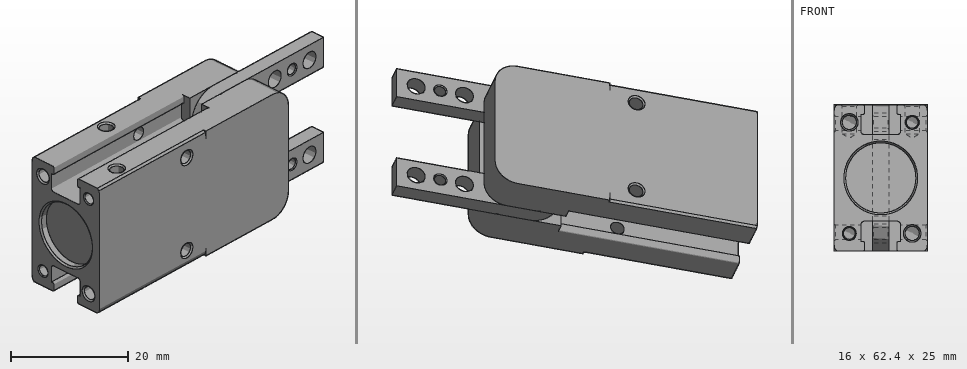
import cadquery as cq
import math


width = 16.0
height = 25.0
total_length = 62.4
housing_length = 46.8
rear_radius = 4.0
half_width = width / 2
half_height = height / 2

channel_length = 32.2
channel_depth = 5.1
channel_half_width = 3.4
channel_floor_radius = 0.55
mouth_half_width = 2.75
lip_thickness = 1.7
lip_radius = 0.4

relief_length = 26.35
relief_height = 1.5
relief_radius = 3.75
relief_chamfer = 0.4

recess_diameter = 12.0
recess_depth = 1.5
recess_chamfer = 0.3

large_core = 2.45
large_mouth = 3.0
small_core = 2.0
small_mouth = 2.4
drill_point_angle = 118.0
thread_x = 5.35
thread_z = 9.5
front_thread_depth = 5.0
port_depth = 5.0
left_port_y = 15.65
right_port_y = 7.0
cross_hole_y = 21.6
cross_hole_z = 9.3

finger_thickness = 2.8
finger_height = 6.0
finger_heel_y = 32.65
finger_heel_radius = 5.35
finger_hole_diameter = 3.2
finger_hole_pitch = 4.3
finger_thread_y = 54.6


def box(x_range, y_range, z_range):
    """Axis-aligned box between the given limits."""
    size = [high - low for low, high in (x_range, y_range, z_range)]
    return (
        cq.Workplane("XY")
        .box(*size, centered=False)
        .translate((x_range[0], y_range[0], z_range[0]))
    )


def mouth_cone(start, direction, core, mouth):
    """45-degree countersink that narrows from the mouth to the core diameter."""
    depth = (mouth - core) / 2
    return cq.Workplane(
        cq.Solid.makeCone(mouth / 2, core / 2, depth, cq.Vector(*start), cq.Vector(*direction))
    )


def blind_thread(start, direction, core, mouth, depth):
    """Cutter for a blind threaded hole with a countersunk mouth and a drill point."""
    origin = cq.Vector(*start)
    axis = cq.Vector(*direction)
    point_length = core / 2 / math.tan(math.radians(drill_point_angle / 2))
    bore = cq.Solid.makeCylinder(core / 2, depth, origin, axis)
    point = cq.Solid.makeCone(core / 2, 0, point_length, origin + axis * depth, axis)
    return cq.Workplane(bore).union(cq.Workplane(point)).union(mouth_cone(start, direction, core, mouth))


def through_hole_x(half_length, y, z, diameter):
    """Cutter for a plain hole along X, running equally far to both sides of the YZ plane."""
    return cq.Workplane(
        cq.Solid.makeCylinder(
            diameter / 2, 2 * half_length, cq.Vector(-half_length, y, z), cq.Vector(1, 0, 0)
        )
    )


def through_thread_x(half_length, y, z, core, mouth):
    """Cutter for a threaded hole along X, countersunk at both ends."""
    cutter = through_hole_x(half_length, y, z, core)
    for side in (-1, 1):
        cutter = cutter.union(mouth_cone((side * half_length, y, z), (-side, 0, 0), core, mouth))
    return cutter


def housing_block():
    """Rectangular block with rounded top and bottom edges at the rear."""
    block = box((-half_width, half_width), (0, housing_length), (-half_height, half_height))
    return block.edges("|X and >Y").fillet(rear_radius)


def channel():
    """Cutter for the top channel: rounded floor corners under a narrower mouth with rounded lips."""
    floor_z = half_height - channel_depth
    lip_z = half_height - lip_thickness
    cavity = box((-channel_half_width, channel_half_width), (0, channel_length), (floor_z, lip_z))
    cavity = cavity.edges("|Y and <Z").fillet(channel_floor_radius)

    mouth_end = mouth_half_width + lip_radius
    mouth = box((-mouth_end, mouth_end), (0, channel_length), (lip_z, half_height))
    lip = box((mouth_half_width, channel_half_width), (0, channel_length), (lip_z, half_height))
    lip = lip.edges("|Y and <X").fillet(lip_radius)
    mouth = mouth.cut(lip).cut(lip.mirror("YZ"))
    return cavity.union(mouth)


def edge_relief():
    """Cutter for the top +X edge: an arc tangent to the side, then a chamfer up to the top."""
    arc_height = relief_height - relief_chamfer
    arc_angle = math.asin(arc_height / relief_radius)
    arc_start_z = half_height - relief_height

    def arc_point(angle):
        inset = relief_radius * (1 - math.cos(angle))
        return (half_width - inset, arc_start_z + relief_radius * math.sin(angle))

    chamfer_start_x = arc_point(arc_angle)[0]
    return (
        cq.Workplane("XZ")
        .moveTo(half_width, arc_start_z)
        .threePointArc(arc_point(arc_angle / 2), arc_point(arc_angle))
        .lineTo(chamfer_start_x - relief_chamfer, half_height)
        .lineTo(half_width, half_height)
        .close()
        .extrude(-relief_length)
    )


def cylinder_recess():
    """Cutter for the shallow round recess with a chamfered rim."""
    recess = cq.Workplane(
        cq.Solid.makeCylinder(recess_diameter / 2, recess_depth, cq.Vector(0, 0, 0), cq.Vector(0, 1, 0))
    )
    rim_diameter = recess_diameter + 2 * recess_chamfer
    return recess.union(mouth_cone((0, 0, 0), (0, 1, 0), recess_diameter, rim_diameter))


def make_housing():
    housing = housing_block()

    for cutter in (channel(), edge_relief(), edge_relief().mirror("YZ")):
        housing = housing.cut(cutter).cut(cutter.mirror("XY"))

    half_slot = finger_thickness / 2
    housing = housing.cut(
        box((-half_slot, half_slot), (channel_length, housing_length), (-half_height, half_height))
    )

    housing = housing.cut(cylinder_recess())

    for side in (-1, 1):
        large_start = (side * thread_x, 0, -side * thread_z)
        small_start = (side * thread_x, 0, side * thread_z)
        housing = housing.cut(blind_thread(large_start, (0, 1, 0), large_core, large_mouth, front_thread_depth))
        housing = housing.cut(blind_thread(small_start, (0, 1, 0), small_core, small_mouth, front_thread_depth))

    for x, y in ((-thread_x, left_port_y), (thread_x, right_port_y)):
        housing = housing.cut(
            blind_thread((x, y, half_height), (0, 0, -1), large_core, large_mouth, port_depth)
        )

    for z in (-cross_hole_z, cross_hole_z):
        housing = housing.cut(through_thread_x(half_width, cross_hole_y, z, large_core, large_mouth))

    return housing


def make_finger():
    """Upper finger: a bar with a rounded heel and three holes near its tip."""
    half_thickness = finger_thickness / 2
    bar = box(
        (-half_thickness, half_thickness),
        (finger_heel_y, total_length),
        (half_height - finger_height, half_height),
    )
    finger = bar.edges("|X and <Y and >Z").fillet(finger_heel_radius)

    for side in (-1, 1):
        hole_y = finger_thread_y + side * finger_hole_pitch
        finger = finger.cut(through_hole_x(half_thickness, hole_y, thread_z, finger_hole_diameter))
    return finger.cut(through_thread_x(half_thickness, finger_thread_y, thread_z, small_core, small_mouth))


housing = make_housing()

fingers = []
for turn in (0, 180):
    fingers.append(make_finger().rotate((0, 0, 0), (0, 1, 0), turn).solids().val())

result = cq.Compound.makeCompound([housing.solids().val(), *fingers])